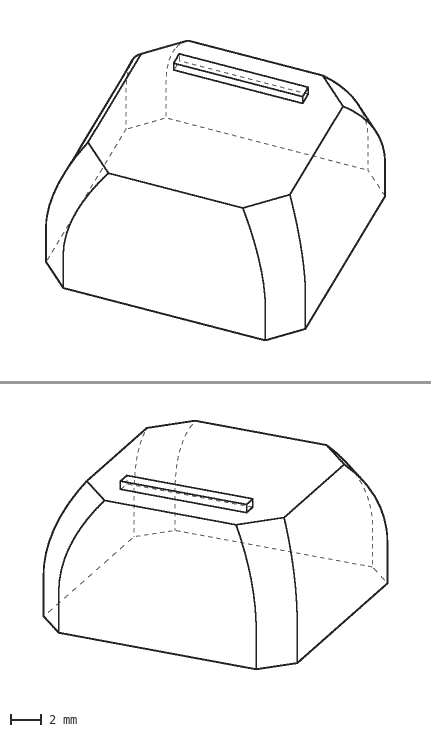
import cadquery as cq
import math

width = 18.2
base_height = 2.93
total_height = 9.65
base_chamfer = 2.02
side_inset = 2.02
top_chamfer = 2.37

bar_length = 9.05
bar_width = 1.0
bar_height = 0.58
bar_center_y = 4.51

body_height = total_height - bar_height

side_base = width / 2
side_top = side_base - side_inset
corner_base = (2 * side_base - base_chamfer) / math.sqrt(2)
corner_top = (2 * side_top - top_chamfer) / math.sqrt(2)

rise = body_height - base_height
arc_radius = (side_inset**2 + rise**2) / (2 * side_inset)
arc_sweep = math.asin(rise / arc_radius)
curve_steps = 8


def domed_prism(half_base, half_top, angle):
    """Prism with upright lower walls that curve inward above the base, turned about Z.

    The side arc is stretched sideways to fit the inset, so all walls move inward in the
    same proportion and the edges between them are straight when looked at from above.
    """
    stretch = (half_base - half_top) / side_inset
    right_curve = []
    for step in range(curve_steps + 1):
        sweep = arc_sweep * step / curve_steps
        x = half_base - stretch * arc_radius * (1 - math.cos(sweep))
        z = base_height + arc_radius * math.sin(sweep)
        right_curve.append((x, z))
    left_curve = [(-x, z) for x, z in reversed(right_curve)]
    lean = stretch * math.sin(arc_sweep)
    climb = math.cos(arc_sweep)
    right_directions = [(0, 1), (-lean, climb)]
    left_directions = [(-lean, -climb), (0, -1)]
    return (
        cq.Workplane("XZ", origin=(0, width, 0))
        .moveTo(-half_base, 0)
        .lineTo(half_base, 0)
        .lineTo(*right_curve[0])
        .spline(right_curve[1:], tangents=right_directions, includeCurrent=True)
        .lineTo(*left_curve[0])
        .spline(left_curve[1:], tangents=left_directions, includeCurrent=True)
        .close()
        .extrude(2 * width)
        .rotate((0, 0, 0), (0, 0, 1), angle)
    )


body = domed_prism(side_base, side_top, 0)
body = body.intersect(domed_prism(side_base, side_top, 90))
for corner_angle in (45, 135):
    body = body.intersect(domed_prism(corner_base, corner_top, corner_angle))

bar = (
    cq.Workplane("XY", origin=(0, bar_center_y, body_height))
    .rect(bar_length, bar_width)
    .extrude(bar_height)
)

result = body.union(bar)